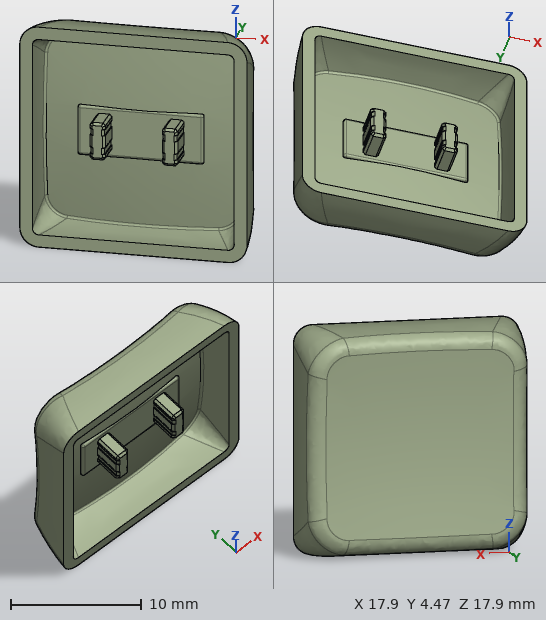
import cadquery as cq

RIM_SIZE = 17.9
RIM_CORNER = 1.5
WALL = 1.0

BODY_HEIGHT = 5.37
BODY_INSET_X = 0.72
BODY_INSET_Z = 1.18
BODY_CORNER = 3.37
TOP_FILLET = 1.15

DISH_RADIUS = 50.12
DISH_LOW_Y = 3.53
TOP_THICKNESS = 1.22
FLOOR_Y = DISH_LOW_Y - TOP_THICKNESS
ANCHOR_Y = DISH_LOW_Y - TOP_THICKNESS / 2

CAVITY_SIZE = RIM_SIZE - 2 * WALL
CAVITY_CORNER = 0.5
CAVITY_HEIGHT = 3.94
CAVITY_INSET_X = 0.4
CAVITY_INSET_Z = 0.68
CAVITY_TOP_CORNER = 2.08
FLOOR_FILLET = 0.18

PAD_LENGTH = 9.92
PAD_WIDTH = 4.05
PAD_FACE_Y = 2.3
PAD_FILLET = 0.2

PRONG_SPACING = 5.7
PRONG_THICKNESS = 1.22
PRONG_WIDTH = 3.0
PRONG_CHAMFER = 0.2
PRONG_TIP_Y = 0.0
GROOVE_WIDTH = 0.5
GROOVE_DEPTH = 0.07
GROOVE_OFFSET = 0.75


def at_depth(y):
    """Sketch plane at height y with local X along X, local Y along Z, looking toward +Y."""
    return cq.Workplane(cq.Plane(origin=(0, y, 0), xDir=(1, 0, 0), normal=(0, -1, 0)))


def block(length, width, y_near, y_far):
    """Box centred on the Y axis, length along X and width along Z."""
    return at_depth(y_far).rect(length, width).extrude(y_far - y_near)


def curved_loft(size, corner, height, inset_x, inset_z, top_corner):
    """Rounded square that shrinks with the square of the height above the rim."""
    sketches = []
    for step in (0, 0.5, 1):
        length = size - 2 * inset_x * step ** 2
        width = size - 2 * inset_z * step ** 2
        radius = corner + (top_corner - corner) * step
        section = cq.Sketch().rect(length, width).vertices().fillet(radius)
        sketches.append(section.moved(cq.Location(cq.Vector(0, 0, -height * step))))
    return at_depth(0).placeSketch(*sketches).loft()


def ball(radius, low_y):
    """Sphere whose lowest point along Y is low_y."""
    return cq.Workplane("XY").sphere(radius).translate((0, low_y + radius, 0))


def make_body():
    body = curved_loft(RIM_SIZE, RIM_CORNER, BODY_HEIGHT, BODY_INSET_X, BODY_INSET_Z, BODY_CORNER)
    body = body.cut(ball(DISH_RADIUS, DISH_LOW_Y))
    return body.faces(">Y").edges().fillet(TOP_FILLET)


def make_cavity():
    cavity = curved_loft(CAVITY_SIZE, CAVITY_CORNER, CAVITY_HEIGHT,
                         CAVITY_INSET_X, CAVITY_INSET_Z, CAVITY_TOP_CORNER)
    cavity = cavity.cut(ball(DISH_RADIUS + TOP_THICKNESS, FLOOR_Y))
    return cavity.faces(">Y").edges().fillet(FLOOR_FILLET)


def make_pad():
    pad = block(PAD_LENGTH, PAD_WIDTH, PAD_FACE_Y, ANCHOR_Y)
    return pad.faces("<Y or <X or >X").edges("|Y or <Y").fillet(PAD_FILLET)


def make_prong():
    """Prong with two shallow grooves along each of its wide sides."""
    prong = block(PRONG_THICKNESS, PRONG_WIDTH, PRONG_TIP_Y, ANCHOR_Y)
    prong = prong.edges("|Y").chamfer(PRONG_CHAMFER)
    prong = prong.faces("<Y").edges().chamfer(PRONG_CHAMFER)
    outline = block(PRONG_THICKNESS, GROOVE_WIDTH, PRONG_TIP_Y, ANCHOR_Y)
    core = block(PRONG_THICKNESS - 2 * GROOVE_DEPTH, GROOVE_WIDTH, PRONG_TIP_Y, ANCHOR_Y)
    core = core.faces("<Y").edges("|Z").chamfer(PRONG_CHAMFER)
    groove_pair = outline.cut(core)
    for side in (-1, 1):
        prong = prong.cut(groove_pair.translate((0, 0, side * GROOVE_OFFSET)))
    return prong


result = make_body().cut(make_cavity()).union(make_pad())
for side in (-1, 1):
    result = result.union(make_prong().translate((side * PRONG_SPACING / 2, 0, 0)))